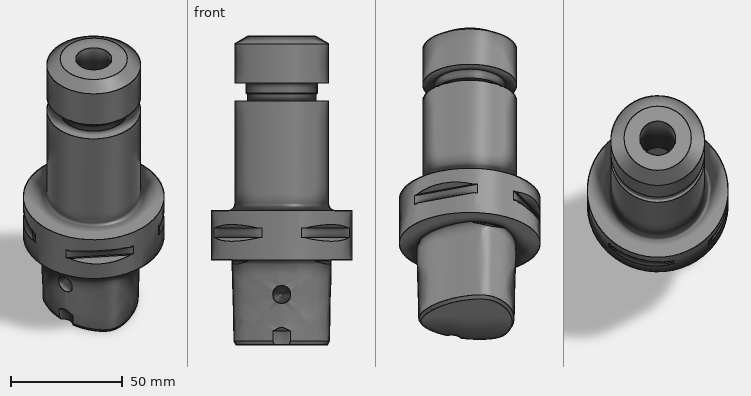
import cadquery as cq
import math

flange_radius = 31.5
flange_height = 22.0
groove_count = 4
groove_first_angle = 45.0
groove_center_height = 12.0
groove_floor_distance = 27.6
groove_floor_height = 4.3
groove_mouth_height = 7.5
groove_straight_depth = 0.8

body_radius = 21.0
body_fillet = 3.0
body_top = 71.0
neck_radius = 15.4
collar_radius = 16.0
collar_bottom = 74.0
nut_bottom = 79.0
nut_radius = 21.0
nut_face_radius = 15.0
nut_top = 100.0
nut_chamfer_angle = 30.0
bore_radius = 8.0
bore_depth = 40.0

shank_length = 38.0
shank_radius = 22.15
shank_eccentricity = 1.6
shank_land = 3.0
taper_ratio = 20.0
tip_chamfer_height = 1.6
tip_chamfer_width = 0.9
curve_points = 72
undercut_radius = 22.6
undercut_height = 0.6
undercut_slope_height = 1.4

side_hole_radius = 4.0
side_hole_height = -15.5
side_hole_depth = 8.0
drill_tip_angle = 118.0
keyway_radius = 4.3
keyway_axis_offset = 0.8
keyway_shoulder = -31.9


def revolve_profile(points):
    return cq.Workplane("XZ").polyline(points).close().revolve(360, (0, 0, 0), (0, 1, 0))


def drill(radius, depth):
    """Drill with its shoulder at Z = depth, starting at Z = 0 and pointing up."""
    tip = radius / math.tan(math.radians(drill_tip_angle / 2))
    return revolve_profile([(0, 0), (radius, 0), (radius, depth), (0, depth + tip)])


def make_upper_body():
    flange = cq.Workplane("XY").circle(flange_radius).extrude(flange_height)
    fillet_end = body_radius + body_fillet
    arc_reach = body_fillet * (1 - math.sqrt(0.5))
    nut_chamfer = (nut_radius - nut_face_radius) * math.tan(math.radians(nut_chamfer_angle))
    collar_chamfer = collar_radius - neck_radius
    spindle = (
        cq.Workplane("XZ")
        .moveTo(0, flange_height)
        .lineTo(fillet_end, flange_height)
        .threePointArc(
            (body_radius + arc_reach, flange_height + arc_reach),
            (body_radius, flange_height + body_fillet),
        )
        .lineTo(body_radius, body_top)
        .lineTo(neck_radius, body_top)
        .lineTo(neck_radius, collar_bottom)
        .lineTo(collar_radius, collar_bottom + collar_chamfer)
        .lineTo(collar_radius, nut_bottom)
        .lineTo(nut_radius, nut_bottom)
        .lineTo(nut_radius, nut_top - nut_chamfer)
        .lineTo(nut_face_radius, nut_top)
        .lineTo(0, nut_top)
        .close()
        .revolve(360, (0, 0, 0), (0, 1, 0))
    )
    bore = cq.Workplane("XY", origin=(0, 0, nut_top - bore_depth)).circle(bore_radius).extrude(bore_depth)
    return flange.union(spindle).cut(bore)


def cut_gripper_grooves(body):
    flare_start = groove_floor_distance + groove_straight_depth
    flare_depth = flange_radius - flare_start
    floor_half = groove_floor_height / 2
    mouth_half = groove_mouth_height / 2
    outer_distance = flare_start + 2 * flare_depth
    outer_half = 2 * mouth_half - floor_half
    groove = (
        cq.Workplane("XZ", origin=(0, flange_radius, groove_center_height))
        .polyline([
            (groove_floor_distance, -floor_half),
            (flare_start, -floor_half),
            (outer_distance, -outer_half),
            (outer_distance, outer_half),
            (flare_start, floor_half),
            (groove_floor_distance, floor_half),
        ])
        .close()
        .extrude(2 * flange_radius)
    )
    for index in range(groove_count):
        angle = groove_first_angle + index * 360 / groove_count
        body = body.cut(groove.rotate((0, 0, 0), (0, 0, 1), angle))
    return body


def lobed_wire(radius, height):
    """Constant-width three-lobed curve with one lobe toward +Y."""
    e = shank_eccentricity

    def point(t):
        a = 2 * math.pi * t
        along = radius * math.cos(a) + 2 * e * math.cos(2 * a) - e * math.cos(4 * a)
        across = radius * math.sin(a) - 2 * e * math.sin(2 * a) - e * math.sin(4 * a)
        return (-across, along)

    samples = [cq.Vector(*point(i / curve_points), height) for i in range(curve_points)]
    return cq.Wire.assembleEdges([cq.Edge.makeSpline(samples, periodic=True)])


def lobed_section(radius_top, top, radius_bottom, bottom):
    wires = [lobed_wire(radius_top, top), lobed_wire(radius_bottom, bottom)]
    return cq.Workplane(cq.Solid.makeLoft(wires, True))


def make_shank():
    chamfer_top = -shank_length + tip_chamfer_height
    taper_length = -shank_land - chamfer_top
    end_radius = shank_radius - taper_length / taper_ratio / 2
    land = lobed_section(shank_radius, 0, shank_radius, -shank_land)
    taper = lobed_section(shank_radius, -shank_land, end_radius, chamfer_top)
    tip = lobed_section(end_radius, chamfer_top, end_radius - tip_chamfer_width, -shank_length)
    return land.union(taper).union(tip)


def undercut():
    outer = flange_radius
    slope_drop = undercut_slope_height * (outer - undercut_radius) / (
        shank_radius + shank_eccentricity - undercut_radius)
    return revolve_profile([
        (undercut_radius, 0),
        (outer, 0),
        (outer, -undercut_height - slope_drop),
        (undercut_radius, -undercut_height),
    ])


def cut_shank_details(shank):
    front = -(shank_radius - shank_eccentricity)
    side_hole = (
        drill(side_hole_radius, side_hole_depth)
        .rotate((0, 0, 0), (1, 0, 0), -90)
        .translate((0, front, side_hole_height))
    )
    keyway = drill(keyway_radius, keyway_shoulder + shank_length).translate(
        (0, front - keyway_axis_offset, -shank_length))
    return shank.cut(undercut()).cut(side_hole).cut(keyway)


upper_body = cut_gripper_grooves(make_upper_body())
shank = cut_shank_details(make_shank())
result = upper_body.union(shank)